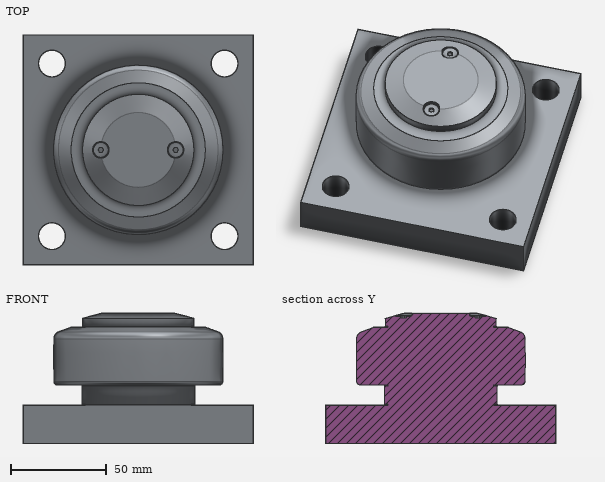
import cadquery as cq
import math

PLATE_SIDE = 120.0
PLATE_THICKNESS = 20.0
MOUNT_HOLE_DIAMETER = 13.84
MOUNT_HOLE_SPACING = 90.0

NECK_DIAMETER = 59.0
NECK_GROOVE_DIAMETER = 55.5
GROOVE_HEIGHT = 0.4

ROLLER_BOTTOM_Z = 30.5
ROLLER_TOP_Z = 60.7
ROLLER_DIAMETER = 88.4
CROWN_DROP = 0.1
LOWER_ROUND_RADIUS = 2.0
UPPER_ROUND_RADIUS = 4.0
CROWN_TOP_Z = 54.6
SHOULDER_DIAMETER = 70.0
SHOULDER_ANGLE = math.radians(22.5)

TOTAL_HEIGHT = 68.0
CAP_DIAMETER = 58.0
CAP_GROOVE_DIAMETER = 55.3
CAP_FLAT_DIAMETER = 39.0
CAP_RIM_Z = 65.3

SCREW_SPACING = CAP_FLAT_DIAMETER
SCREW_RECESS_DIAMETER = 8.6
SCREW_FLOOR_DIAMETER = 7.8
SCREW_TAPER_HEIGHT = 0.2
SCREW_RECESS_DEPTH = 1.5
SOCKET_SIDES = 6
SCREW_SOCKET_ACROSS_FLATS = 2.5
SCREW_SOCKET_DEPTH = 1.0


def make_plate():
    """Square plate with four through holes near its corners."""
    return (
        cq.Workplane("XY")
        .rect(PLATE_SIDE, PLATE_SIDE)
        .extrude(PLATE_THICKNESS)
        .faces(">Z")
        .workplane()
        .rect(MOUNT_HOLE_SPACING, MOUNT_HOLE_SPACING, forConstruction=True)
        .vertices()
        .hole(MOUNT_HOLE_DIAMETER)
    )


def make_neck():
    """Collar between plate and roller, set off from both by a thin groove."""
    collar_bottom_z = PLATE_THICKNESS + GROOVE_HEIGHT
    collar_height = ROLLER_BOTTOM_Z - PLATE_THICKNESS - 2 * GROOVE_HEIGHT
    core = cq.Workplane("XY").circle(NECK_GROOVE_DIAMETER / 2).extrude(ROLLER_BOTTOM_Z)
    collar = (
        cq.Workplane("XY", origin=(0, 0, collar_bottom_z))
        .circle(NECK_DIAMETER / 2)
        .extrude(collar_height)
    )
    return core.union(collar)


def arc_point(center, radius, angle):
    """Point on a circle, with the angle measured from the radial direction."""
    return (
        center[0] + radius * math.cos(angle),
        center[1] + radius * math.sin(angle),
    )


def make_roller():
    """Revolved ring: rounded lower edge, crowned side, rounded upper edge and conical shoulder."""
    crown_radius = ROLLER_DIAMETER / 2
    edge_radius = crown_radius - CROWN_DROP
    crown_bottom_z = ROLLER_BOTTOM_Z + LOWER_ROUND_RADIUS
    crown_middle_z = (crown_bottom_z + CROWN_TOP_Z) / 2
    lower_center = (edge_radius - LOWER_ROUND_RADIUS, crown_bottom_z)
    upper_center = (edge_radius - UPPER_ROUND_RADIUS, CROWN_TOP_Z)
    round_end_angle = math.pi / 2 - SHOULDER_ANGLE

    profile = (
        cq.Workplane("XZ")
        .moveTo(0, ROLLER_BOTTOM_Z)
        .lineTo(lower_center[0], ROLLER_BOTTOM_Z)
        .threePointArc(
            arc_point(lower_center, LOWER_ROUND_RADIUS, -math.pi / 4),
            (edge_radius, crown_bottom_z),
        )
        .threePointArc((crown_radius, crown_middle_z), (edge_radius, CROWN_TOP_Z))
        .threePointArc(
            arc_point(upper_center, UPPER_ROUND_RADIUS, round_end_angle / 2),
            arc_point(upper_center, UPPER_ROUND_RADIUS, round_end_angle),
        )
        .lineTo(SHOULDER_DIAMETER / 2, ROLLER_TOP_Z)
        .lineTo(0, ROLLER_TOP_Z)
        .close()
    )
    return profile.revolve(360, (0, 0, 0), (0, 1, 0))


def make_cap():
    """Low disc above a thin groove, its top edge sloping down from a central flat."""
    disc_bottom_z = ROLLER_TOP_Z + GROOVE_HEIGHT
    return (
        cq.Workplane("XZ")
        .moveTo(0, ROLLER_TOP_Z)
        .lineTo(CAP_GROOVE_DIAMETER / 2, ROLLER_TOP_Z)
        .lineTo(CAP_GROOVE_DIAMETER / 2, disc_bottom_z)
        .lineTo(CAP_DIAMETER / 2, disc_bottom_z)
        .lineTo(CAP_DIAMETER / 2, CAP_RIM_Z)
        .lineTo(CAP_FLAT_DIAMETER / 2, TOTAL_HEIGHT)
        .lineTo(0, TOTAL_HEIGHT)
        .close()
        .revolve(360, (0, 0, 0), (0, 1, 0))
    )


def make_screw_cutter():
    """Round recess, tapered at the bottom, with a hexagon socket in its floor."""
    floor_z = TOTAL_HEIGHT - SCREW_RECESS_DEPTH
    socket_across_corners = SCREW_SOCKET_ACROSS_FLATS / math.cos(math.pi / SOCKET_SIDES)
    recess = (
        cq.Workplane("XY", origin=(0, 0, floor_z))
        .circle(SCREW_FLOOR_DIAMETER / 2)
        .workplane(offset=SCREW_TAPER_HEIGHT)
        .circle(SCREW_RECESS_DIAMETER / 2)
        .loft()
        .faces(">Z")
        .workplane()
        .circle(SCREW_RECESS_DIAMETER / 2)
        .extrude(SCREW_RECESS_DEPTH - SCREW_TAPER_HEIGHT)
    )
    socket = (
        cq.Workplane("XY", origin=(0, 0, floor_z - SCREW_SOCKET_DEPTH))
        .polygon(SOCKET_SIDES, socket_across_corners)
        .extrude(SCREW_SOCKET_DEPTH)
    )
    return recess.union(socket)


result = make_plate().union(make_neck()).union(make_roller()).union(make_cap())
for side in (-1, 1):
    result = result.cut(make_screw_cutter().translate((side * SCREW_SPACING / 2, 0, 0)))